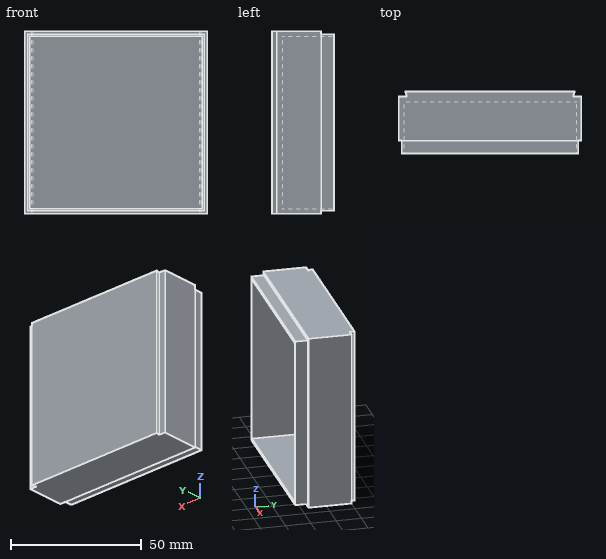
import cadquery as cq

side = 70.0
depth = 23.9

lip_depth = 5.0
rail_depth = 1.9
floor_thickness = 2.0

lip_inset = 1.1
wall = 2.0
rail_outer_width = 64.95
rail_root_width = 63.85

cavity_side = side - 2 * wall
lip_side = side - 2 * lip_inset
body_depth = depth - lip_depth - rail_depth

body_front = lip_depth
body_back = body_front + body_depth
cavity_depth = body_back - floor_thickness


def square_block(width, front, length):
    """Square block centred on the Y axis, running back from `front`."""
    return cq.Workplane("XY").box(width, length, width).translate((0, front + length / 2, 0))


def dovetail_rail():
    """Rail across the back that widens outward and runs the full height."""
    return (
        cq.Workplane("XY", origin=(0, 0, -side / 2))
        .moveTo(-rail_root_width / 2, body_back)
        .lineTo(rail_root_width / 2, body_back)
        .lineTo(rail_outer_width / 2, depth)
        .lineTo(-rail_outer_width / 2, depth)
        .close()
        .extrude(side)
    )


body = square_block(side, body_front, body_depth)
lip = square_block(lip_side, 0, lip_depth)
cavity = square_block(cavity_side, 0, cavity_depth)

result = body.union(lip).union(dovetail_rail()).cut(cavity)